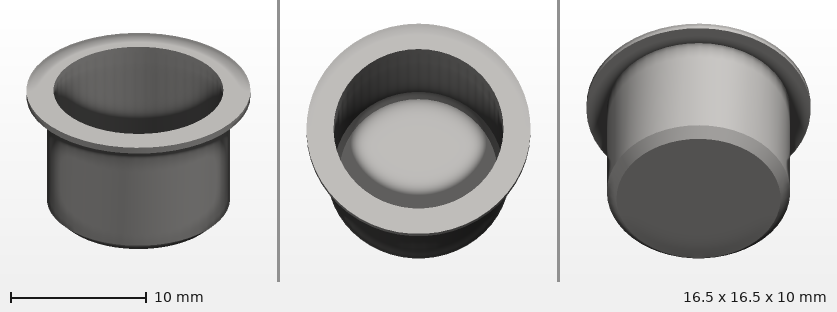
import cadquery as cq
import math

flange_diameter = 16.5
body_diameter = 13.5
wall = 0.5
total_height = 10.0
base_chamfer = 0.71

flange_radius = flange_diameter / 2
body_radius = body_diameter / 2
bore_radius = body_radius - wall
flange_underside = total_height - wall

bore_chamfer = base_chamfer - wall * (2 - math.sqrt(2))

half_section = [
    (0, 0),
    (body_radius - base_chamfer, 0),
    (body_radius, base_chamfer),
    (body_radius, flange_underside),
    (flange_radius, flange_underside),
    (flange_radius, total_height),
    (bore_radius, total_height),
    (bore_radius, wall + bore_chamfer),
    (bore_radius - bore_chamfer, wall),
    (0, wall),
]

result = cq.Workplane("XZ").polyline(half_section).close().revolve(360, (0, 0), (0, 1))